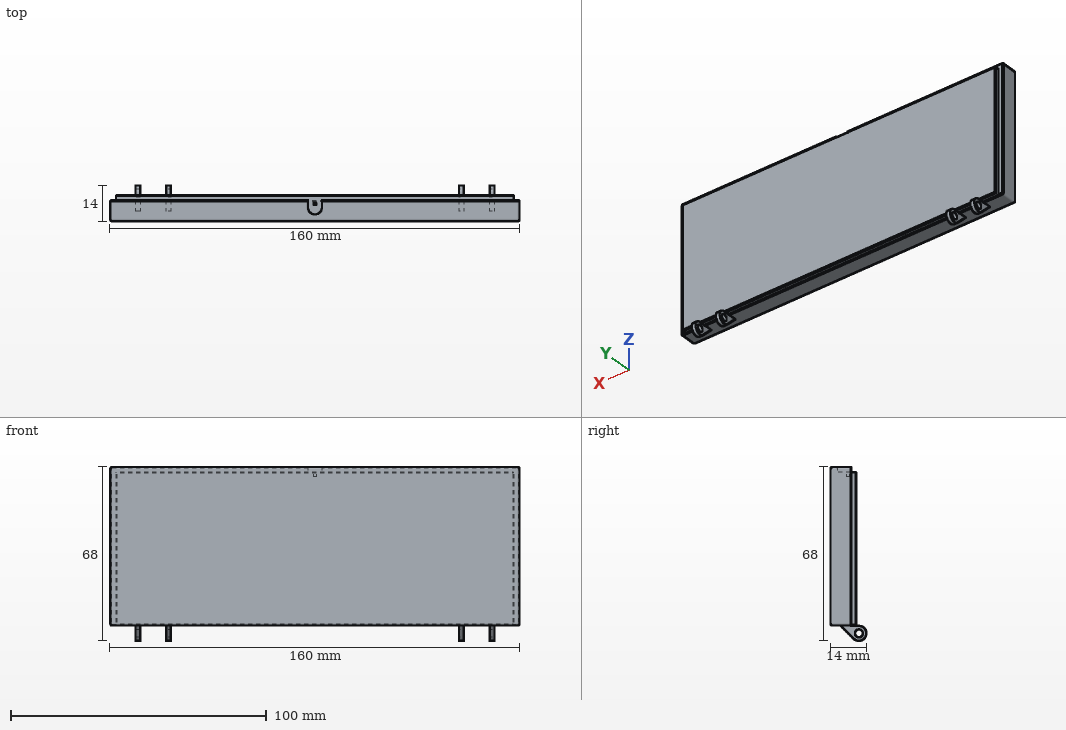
import math

import cadquery as cq

length = 160.0
total_depth = 14.0
total_height = 68.0
height = 62.0

body_depth = 8.3
edge_round = 1.0
back_chamfer = 0.5

plate_side_inset = 2.2
plate_top_inset = 2.0
plate_bottom_inset = 0.3
plate_thickness = 2.0
plate_corner_round = 0.5
plate_chamfer = 0.4
plate_back_y = body_depth + plate_thickness
plate_length = length - 2 * plate_side_inset
plate_top_z = height - plate_top_inset

lug_radius = (total_height - height) / 2
lug_hole_radius = 1.5
lug_width = 2.0
lug_front_y = 4.0
lug_center_y = total_depth - lug_radius
lug_pair_center = 63.2
lug_pair_spacing = 12.0

notch_width = 5.5
notch_front_y = 2.7
notch_rim_round = 0.8
pin_hole_y = 6.9
pin_hole_radius = 0.56
pin_hole_depth = 1.6


def box(x_size, y_start, y_end, z_start, z_end):
    """Box centred on X between the given Y and Z limits."""
    return (
        cq.Workplane("XY", origin=(0, y_start, z_start))
        .box(x_size, y_end - y_start, z_end - z_start, centered=(True, False, False))
    )


def make_notched_slab():
    """Slab with the U-shaped notch and its rounded rim, running past the back of the body."""
    radius = notch_width / 2
    arc_center_y = notch_front_y + radius
    notch = (
        cq.Workplane("XY", origin=(0, 0, plate_top_z))
        .moveTo(-radius, plate_back_y)
        .lineTo(-radius, arc_center_y)
        .threePointArc((0, notch_front_y), (radius, arc_center_y))
        .lineTo(radius, plate_back_y)
        .close()
        .extrude(plate_top_inset)
    )
    slab = box(length, 0, plate_back_y, 0, height).cut(notch)
    front_arc = cq.selectors.NearestToPointSelector((0, notch_front_y, height))
    return slab.edges(front_arc).fillet(notch_rim_round)


def make_body():
    block = box(length, 0, body_depth, 0, height)
    block = block.edges("|Y or <Y").fillet(edge_round)
    block = block.faces(">Y").chamfer(back_chamfer)
    return block.intersect(make_notched_slab())


def make_plate():
    """Plate with bevelled back edges, sunk a little into the body so that the two join."""
    front_y = body_depth - back_chamfer
    plate = box(plate_length, front_y, plate_back_y, plate_bottom_inset, plate_top_z)
    plate = plate.edges("|Y").fillet(plate_corner_round)
    return plate.faces(">Y").chamfer(plate_chamfer)


def make_pin_hole():
    return (
        cq.Workplane("XY", origin=(0, pin_hole_y, plate_top_z))
        .circle(pin_hole_radius)
        .extrude(-pin_hole_depth)
    )


def make_lug(x):
    """Eye with a flat top under the body and a straight web tangent to its round end."""
    web_length = lug_center_y - lug_front_y
    web_angle = 2 * math.atan2(lug_radius, web_length)
    tangent_y = lug_front_y + web_length * math.cos(web_angle)
    tangent_z = -web_length * math.sin(web_angle)
    return (
        cq.Workplane("YZ", origin=(x - lug_width / 2, 0, 0))
        .moveTo(lug_front_y, 0)
        .lineTo(lug_center_y, 0)
        .threePointArc((total_depth, -lug_radius), (tangent_y, tangent_z))
        .close()
        .moveTo(lug_center_y, -lug_radius)
        .circle(lug_hole_radius)
        .extrude(lug_width)
    )


result = make_body().union(make_plate()).cut(make_pin_hole())
for side in (-1, 1):
    for offset in (-lug_pair_spacing / 2, lug_pair_spacing / 2):
        result = result.union(make_lug(side * lug_pair_center + offset))